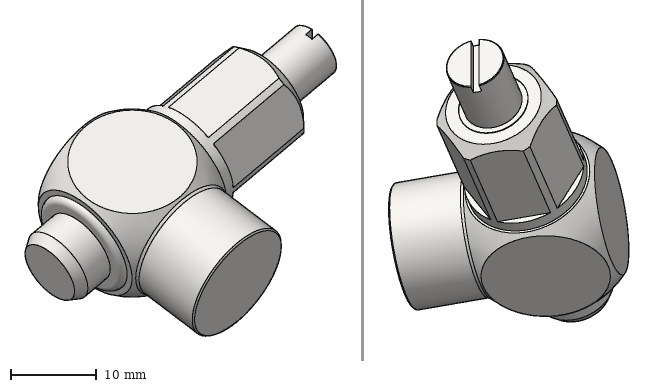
import cadquery as cq
import math

body_size = 16.0
sphere_diameter = 22.0
half_body = body_size / 2

outlet_diameter = 15.1
outlet_end = 17.0
outlet_start = 8.25
outlet_chamfer = 0.2
neck_start = 7.85

collar_diameter = 13.5
collar_height = 0.8
collar_round = 0.79
pin_diameter = 9.6
pin_end = 14.0
pin_chamfer_length = 1.4
pin_tip_diameter = 8.0

bonnet_diameter = 14.5
hex_start = 9.5
hex_end = 22.9
hex_across_flats = 13.0
hex_chamfer = 1.45
seat_diameter = 8.4
seat_height = 0.1

stem_diameter = 7.0
stem_end = 31.0
stem_chamfer = 0.1
slot_width = 1.0
slot_depth = 1.1


def cylinder_along_y(diameter, y_start, y_end):
    """Solid cylinder on the Y axis between two Y positions."""
    start_plane = cq.Workplane("XZ", origin=(0, y_start, 0))
    return start_plane.circle(diameter / 2).extrude(y_start - y_end)


def make_body():
    """Cube with its edges and corners cut back to a sphere."""
    cube = cq.Workplane("XY").box(body_size, body_size, body_size)
    return cube.intersect(cq.Workplane("XY").sphere(sphere_diameter / 2))


def make_outlet():
    """Outlet boss, with a short conical neck that leaves the sphere surface."""
    neck_radius = math.sqrt((sphere_diameter / 2) ** 2 - neck_start ** 2)
    outlet_radius = outlet_diameter / 2
    profile = (
        cq.Workplane("XY")
        .moveTo(0, 0)
        .lineTo(0, neck_radius)
        .lineTo(neck_start, neck_radius)
        .lineTo(outlet_start, outlet_radius)
        .lineTo(outlet_end - outlet_chamfer, outlet_radius)
        .lineTo(outlet_end, outlet_radius - outlet_chamfer)
        .lineTo(outlet_end, 0)
        .close()
    )
    return profile.revolve(360, (0, 0, 0), (1, 0, 0))


def make_collar():
    """Low collar around the pin, with a rounded outer rim."""
    collar = cylinder_along_y(collar_diameter, 0, -half_body - collar_height)
    return collar.faces("<Y").edges().fillet(collar_round)


def make_pin():
    """Plain pin whose tip tapers to a smaller flat end."""
    tip_inset = (pin_diameter - pin_tip_diameter) / 2
    tip_angle = math.degrees(math.atan2(tip_inset, pin_chamfer_length))
    shank = cylinder_along_y(pin_diameter, 0, pin_chamfer_length - pin_end)
    return (
        shank.faces("<Y")
        .workplane()
        .circle(pin_diameter / 2)
        .extrude(pin_chamfer_length, taper=tip_angle)
    )


def make_bonnet():
    """Round bonnet, chamfered at its outer end and milled to a hexagon above a plain ring."""
    bonnet = cylinder_along_y(bonnet_diameter, 0, hex_end)
    bonnet = bonnet.faces(">Y").edges().chamfer(hex_chamfer)
    across_corners = hex_across_flats / math.cos(math.radians(30))
    hexagon = (
        cq.Workplane("XZ", origin=(0, hex_start, 0))
        .polygon(6, across_corners)
        .extrude(hex_start - hex_end)
    )
    ring = cylinder_along_y(bonnet_diameter, 0, hex_start)
    return bonnet.intersect(hexagon.union(ring))


def make_stem():
    """Stem with a screwdriver slot across its end, standing on a shallow round seat."""
    seat = cylinder_along_y(seat_diameter, 0, hex_end + seat_height)
    stem = cylinder_along_y(stem_diameter, 0, stem_end)
    stem = stem.faces(">Y").edges().chamfer(stem_chamfer)
    slot = cq.Workplane("XY").box(slot_width, 2 * slot_depth, stem_diameter)
    return stem.cut(slot.translate((0, stem_end, 0))).union(seat)


result = make_body()
for feature in (make_outlet(), make_collar(), make_pin(), make_bonnet(), make_stem()):
    result = result.union(feature)